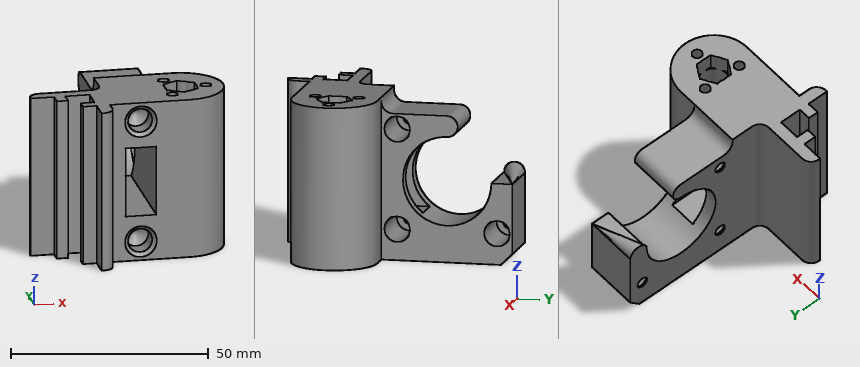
import cadquery as cq
import math

height = 42.0
length_x = 50.2
length_y = 62.2
mid_z = height / 2
end_radius = 11.0
end_x = length_x - end_radius
block_back = 28.25
end_y = block_back - end_radius
block_front = end_y - end_radius

leg_length = 15.25
leg_wall = 3.5
leg_round = 3.0
rib_start = 6.1
rib_width = 2.9
rib_depth = 3.55

arm_left = 19.0
arm_width = 15.0
arm_right = arm_left + arm_width
bore_radius = 11.45
horn_width = 5.5
horn_radius = horn_width / 2
bore_y = length_y - bore_radius - horn_width
bore_z = mid_z
arm_top = bore_z + bore_radius + horn_width
step_round = 3.0
arm_chamfer = 3.0
arm_hole_diameter = 3.2
arm_hole_offset = 12.95
arm_counterbore_diameter = 6.6
arm_lip = 0.5

shaft_diameter = 8.2
hex_flats = 8.0
hex_depth = 5.0
end_hole_diameter = 2.8
end_hole_circle_radius = 6.5

window_width = 7.95
window_height = 18.15
sink_diameter = 8.2
sink_depth = 1.0
blind_diameter = 6.2
blind_depth = 6.0
blind_tip_angle = 118.0
front_feature_x = 26.7
blind_offset_z = 16.0


def box(x0, x1, y0, y1, z0, z1):
    """Axis-aligned box between two corners."""
    return cq.Workplane("XY").box(x1 - x0, y1 - y0, z1 - z0, centered=False).translate((x0, y0, z0))


def make_block():
    """Round-ended block and channel legs, extruded over the full height."""
    leg_outer = leg_length + leg_wall
    arc = math.sqrt(0.5)
    bend = leg_round * (1 - arc)
    profile = (
        cq.Workplane("XY")
        .moveTo(0, leg_length)
        .lineTo(leg_length, leg_length)
        .lineTo(leg_length, 0)
        .lineTo(leg_outer - leg_round, 0)
        .threePointArc((leg_outer - bend, bend), (leg_outer, leg_round))
        .lineTo(leg_outer, block_front)
        .lineTo(end_x, block_front)
        .threePointArc((length_x, end_y), (end_x, block_back))
        .lineTo(arm_left, block_back)
        .lineTo(arm_left, leg_outer + leg_round)
        .threePointArc(
            (arm_left - bend, leg_outer + bend),
            (arm_left - leg_round, leg_outer),
        )
        .lineTo(leg_round, leg_outer)
        .threePointArc((bend, leg_outer - bend), (0, leg_outer - leg_round))
        .close()
    )
    block = profile.extrude(height)
    rib_end = rib_start + rib_width
    rib_tip = leg_length - rib_depth
    block = block.union(box(rib_start, rib_end, rib_tip, leg_length, 0, height))
    return block.union(box(rib_tip, leg_length, rib_start, rib_end, 0, height))


def make_horn_tip():
    """Half cone tapering from the left arm face to a point at the right rear edge."""
    horn_y = length_y - horn_radius
    base = (
        cq.Workplane("YZ", origin=(arm_left, 0, 0))
        .moveTo(horn_y - horn_radius, bore_z)
        .threePointArc((horn_y, bore_z + horn_radius), (length_y, bore_z))
        .close()
        .wire()
        .val()
    )
    base_face = cq.Face.makeFromWires(base)
    apex = cq.Vertex.makeVertex(arm_right, length_y, bore_z)
    return cq.Workplane(cq.occ_impl.shapes.loft(base_face, apex, ruled=True))


def make_arm():
    """C-shaped clamp with a rounded upper horn and a tapered rear horn.

    Its screw holes are counterbored from the right, leaving a thin lip at the left face.
    """
    arc = math.sqrt(0.5)
    bend = step_round * (1 - arc)
    profile = (
        cq.Workplane("YZ", origin=(arm_left, 0, 0))
        .moveTo(block_back, 0)
        .lineTo(length_y - arm_chamfer, 0)
        .lineTo(length_y, arm_chamfer)
        .lineTo(length_y, bore_z)
        .lineTo(bore_y + bore_radius, bore_z)
        .threePointArc(
            (bore_y - bore_radius * arc, bore_z - bore_radius * arc),
            (bore_y, bore_z + bore_radius),
        )
        .threePointArc((bore_y + horn_radius, arm_top - horn_radius), (bore_y, arm_top))
        .lineTo(block_back + step_round, arm_top)
        .threePointArc(
            (block_back + bend, arm_top + bend),
            (block_back, arm_top + step_round),
        )
        .close()
    )
    arm = profile.extrude(arm_width).union(make_horn_tip())
    offset = arm_hole_offset
    hole_centres = [
        (bore_y - offset, bore_z - offset),
        (bore_y + offset, bore_z - offset),
        (bore_y - offset, bore_z + offset),
    ]
    holes = (
        cq.Workplane("YZ", origin=(arm_left, 0, 0))
        .pushPoints(hole_centres)
        .circle(arm_hole_diameter / 2)
        .extrude(arm_width)
    )
    counterbores = (
        cq.Workplane("YZ", origin=(arm_left + arm_lip, 0, 0))
        .pushPoints(hole_centres)
        .circle(arm_counterbore_diameter / 2)
        .extrude(arm_width - arm_lip)
    )
    return arm.cut(holes).cut(counterbores)


def make_end_holes():
    """Shaft hole with a hexagonal pocket from the top, and three holes around it."""
    axis = cq.Workplane("XY", origin=(end_x, end_y, 0))
    shaft = axis.circle(shaft_diameter / 2).extrude(height)
    hex_pocket = (
        axis.workplane(offset=height - hex_depth)
        .polygon(6, hex_flats, circumscribed=True)
        .extrude(hex_depth)
    )
    screws = (
        axis.polarArray(end_hole_circle_radius, 0, 360, 3)
        .circle(end_hole_diameter / 2)
        .extrude(height)
    )
    return shaft.union(hex_pocket).union(screws)


def make_blind_hole(z):
    """Countersunk blind hole with a drill-point bottom, drilled in from the front face."""
    radius = blind_diameter / 2
    tip_length = radius / math.tan(math.radians(blind_tip_angle / 2))
    half_section = [
        (0, 0),
        (sink_diameter / 2, 0),
        (radius, sink_depth),
        (radius, blind_depth),
        (0, blind_depth + tip_length),
    ]
    hole = cq.Workplane("XY").polyline(half_section).close().revolve(360, (0, 0), (0, 1))
    return hole.translate((front_feature_x, block_front, z))


window = box(
    front_feature_x - window_width / 2,
    front_feature_x + window_width / 2,
    block_front,
    bore_y,
    mid_z - window_height / 2,
    mid_z + window_height / 2,
)

result = make_block().union(make_arm()).cut(make_end_holes()).cut(window)
for side in (-1, 1):
    result = result.cut(make_blind_hole(mid_z + side * blind_offset_z))